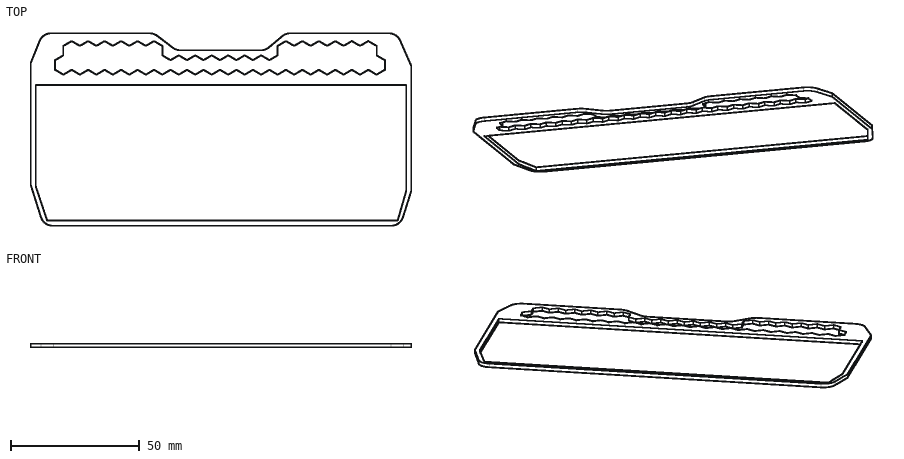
import cadquery as cq
import math

LENGTH = 148.0
WIDTH = 75.0
THICKNESS = 1.5
RIGHT_X = LENGTH / 2
LEFT_X = -RIGHT_X
REAR_Y = WIDTH / 2
FRONT_Y = -REAR_Y

FRONT_LEFT_START_Y = -21.7
FRONT_LEFT_INSET = 5.0
FRONT_RIGHT_START_Y = -24.05
FRONT_RIGHT_INSET = 4.25
REAR_LEFT_START_Y = 26.0
REAR_LEFT_INSET = 4.65
REAR_RIGHT_START_Y = 24.85
REAR_RIGHT_INSET = 5.55
CORNER_RADIUS = 5.0

NOTCH_LEFT_X = -26.15
NOTCH_RIGHT_X = 25.2
NOTCH_FLOOR_LEFT_X = -17.4
NOTCH_FLOOR_RIGHT_X = 17.3
NOTCH_DEPTH = 6.65

SIDE_RAIL = 2.0
FRONT_RAIL = 2.15
WINDOW_REAR_Y = 17.3
WINDOW_LEFT_START_Y = -22.15
WINDOW_LEFT_INSET = 4.4
WINDOW_RIGHT_START_Y = -23.85
WINDOW_RIGHT_INSET = 3.3

HEX_PITCH = 6.41
HEX_SIDES = 6
HEX_RADIUS = HEX_PITCH / math.sqrt(3)
HEX_ROW_STEP = 1.5 * HEX_RADIUS
SLOT_CENTER_X = -0.4
FRONT_ROW_Y = 25.1
FRONT_ROW_COUNT = 20
REAR_GROUP_COUNT = 6
REAR_GROUP_START = 4


def round_corners(body, corners, radius):
    """Round the vertical edges at the given corners."""
    for x, y in corners:
        edge = cq.selectors.NearestToPointSelector((x, y, THICKNESS / 2))
        body = body.edges("|Z").edges(edge).fillet(radius)
    return body


def make_plate():
    front_corners = [
        (LEFT_X + FRONT_LEFT_INSET, FRONT_Y),
        (RIGHT_X - FRONT_RIGHT_INSET, FRONT_Y),
    ]
    right_side = [(RIGHT_X, FRONT_RIGHT_START_Y), (RIGHT_X, REAR_RIGHT_START_Y)]
    rear_corners = [
        (RIGHT_X - REAR_RIGHT_INSET, REAR_Y),
        (NOTCH_RIGHT_X, REAR_Y),
        (NOTCH_FLOOR_RIGHT_X, REAR_Y - NOTCH_DEPTH),
        (NOTCH_FLOOR_LEFT_X, REAR_Y - NOTCH_DEPTH),
        (NOTCH_LEFT_X, REAR_Y),
        (LEFT_X + REAR_LEFT_INSET, REAR_Y),
    ]
    left_side = [(LEFT_X, REAR_LEFT_START_Y), (LEFT_X, FRONT_LEFT_START_Y)]
    outline = front_corners + right_side + rear_corners + left_side
    plate = cq.Workplane("XY").polyline(outline).close().extrude(THICKNESS)
    return round_corners(plate, front_corners + rear_corners, CORNER_RADIUS)


def make_window():
    left = LEFT_X + SIDE_RAIL
    right = RIGHT_X - SIDE_RAIL
    front = FRONT_Y + FRONT_RAIL
    outline = [
        (left + WINDOW_LEFT_INSET, front),
        (right - WINDOW_RIGHT_INSET, front),
        (right, WINDOW_RIGHT_START_Y),
        (right, WINDOW_REAR_Y),
        (left, WINDOW_REAR_Y),
        (left, WINDOW_LEFT_START_Y),
    ]
    return cq.Workplane("XY").polyline(outline).close().extrude(THICKNESS)


def make_cell(x, y):
    """Hexagonal prism with a tip pointing along +Y."""
    tips = []
    for i in range(HEX_SIDES):
        angle = math.pi / 2 + i * 2 * math.pi / HEX_SIDES
        tips.append((x + HEX_RADIUS * math.cos(angle), y + HEX_RADIUS * math.sin(angle)))
    return cq.Workplane("XY").polyline(tips).close().extrude(THICKNESS)


def cut_honeycomb(body):
    """Cut adjoining cells that merge into one scalloped slot."""
    for i in range(FRONT_ROW_COUNT):
        offset = (i - (FRONT_ROW_COUNT - 1) / 2) * HEX_PITCH
        body = body.cut(make_cell(SLOT_CENTER_X + offset, FRONT_ROW_Y))
    for i in range(REAR_GROUP_COUNT):
        offset = (REAR_GROUP_START + i) * HEX_PITCH
        for side in (-1, 1):
            body = body.cut(make_cell(SLOT_CENTER_X + side * offset, FRONT_ROW_Y + HEX_ROW_STEP))
    return body


result = cut_honeycomb(make_plate().cut(make_window()))